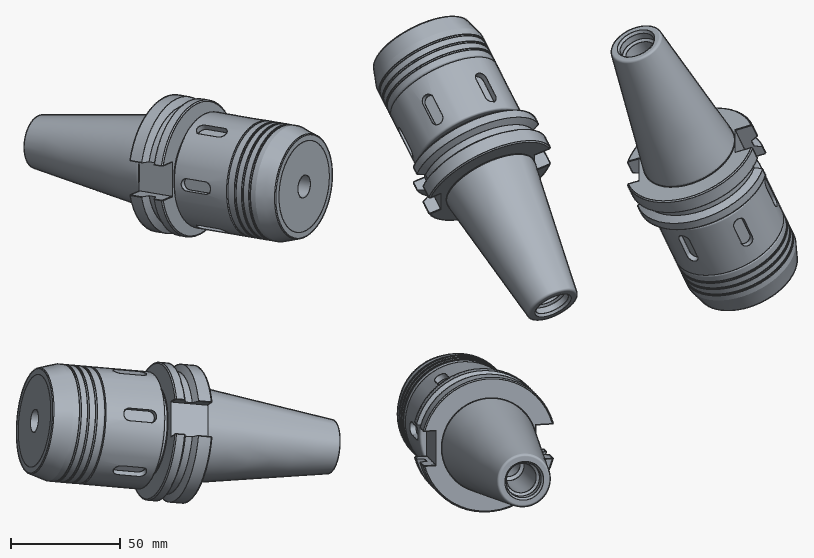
import cadquery as cq


total_length = 144.5
taper_end = 67.9
flange_start = 69.2
flange_end = 87.2
sleeve_start = 90.7
sleeve_end = 119.6
nose_ring_start = 119.9

shank_large_diameter = 44.5
taper_ratio = 7 / 24
shank_end_fillet = 1.2

relief_width = 0.5
shank_relief_diameter = 44.0
neck_relief_diameter = 42.0

flange_diameter = 63.3
flange_chamfer = 0.6
groove_floor_diameter = 56.3
groove_start = 76.0
groove_end = 82.8
groove_floor_start = 77.7
groove_floor_end = 81.0
drive_slot_width = 16.0
drive_slot_chamfer = 0.3
drive_slot_front_floor = 22.2
drive_slot_rear_floor = 24.7

neck_diameter = 42.5

bore_mouth_diameter = 18.2
bore_entry_diameter = 16.5
bore_thread_diameter = 13.9
bore_through_diameter = 10.5
bore_mouth_depth = 1.3
bore_entry_end = 4.5
bore_thread_start = 5.3
bore_thread_end = 28.9
bore_through_start = 29.9

nut_diameter = 53.7
rear_fillet = 1.0
slot_count = 6
slot_length = 15.9
slot_width = 5.9
slot_start = 95.0
slot_floor_radius = 24.0
ring_groove_count = 3
ring_groove_pitch = 3.9
ring_groove_width = 0.9
ring_groove_depth = 0.3
first_ring_groove = 123.8
nose_taper_start = 135.5
nose_diameter = 48.7
nose_chamfer = 0.5


def revolved(points):
    """Turn a closed (x, radius) outline about the X axis."""
    return cq.Workplane("XY").polyline(points).close().revolve(360, (0, 0, 0), (1, 0, 0))


def tube(start, end, outer_diameter, inner_diameter):
    """Plain tube along X."""
    outline = cq.Workplane("YZ", origin=(start, 0, 0))
    return outline.circle(outer_diameter / 2).circle(inner_diameter / 2).extrude(end - start)


def round_rear_rim(body):
    """Fillet the outer edge of the face nearest the shank."""
    outermost = cq.selectors.RadiusNthSelector(-1)
    return body.faces("<X").edges(outermost).fillet(rear_fillet)


def make_holder_blank():
    flange_radius = flange_diameter / 2
    groove_radius = groove_floor_diameter / 2
    large_radius = shank_large_diameter / 2
    small_radius = large_radius - taper_ratio / 2 * taper_end
    shank_relief_start = flange_start - relief_width
    shank_relief_radius = shank_relief_diameter / 2
    neck_relief_end = flange_end + relief_width
    neck_relief_radius = neck_relief_diameter / 2
    neck_radius = neck_diameter / 2
    blank = revolved([
        (0, 0),
        (0, small_radius),
        (taper_end, large_radius),
        (shank_relief_start, large_radius),
        (shank_relief_start, shank_relief_radius),
        (flange_start, shank_relief_radius),
        (flange_start, flange_radius - flange_chamfer),
        (flange_start + flange_chamfer, flange_radius),
        (groove_start, flange_radius),
        (groove_floor_start, groove_radius),
        (groove_floor_end, groove_radius),
        (groove_end, flange_radius),
        (flange_end - flange_chamfer, flange_radius),
        (flange_end, flange_radius - flange_chamfer),
        (flange_end, neck_relief_radius),
        (neck_relief_end, neck_relief_radius),
        (neck_relief_end, neck_radius),
        (total_length, neck_radius),
        (total_length, 0),
    ])
    return blank.faces("<X").edges().fillet(shank_end_fillet)


def make_holder_bore():
    return revolved([
        (0, 0),
        (0, bore_mouth_diameter / 2),
        (bore_mouth_depth, bore_entry_diameter / 2),
        (bore_entry_end, bore_entry_diameter / 2),
        (bore_thread_start, bore_thread_diameter / 2),
        (bore_thread_end, bore_thread_diameter / 2),
        (bore_through_start, bore_through_diameter / 2),
        (total_length, bore_through_diameter / 2),
        (total_length, 0),
    ])


def make_drive_slot(side, floor_distance):
    """Block that cuts a drive slot; side is -1 for -Y and +1 for +Y."""
    depth = flange_diameter / 2 - floor_distance
    middle_x = (flange_start + flange_end) / 2
    middle_y = side * (floor_distance + depth / 2)
    block = cq.Workplane("XY").box(flange_end - flange_start, depth, drive_slot_width)
    return block.translate((middle_x, middle_y, 0))


def break_drive_slot_edges(holder):
    """Chamfer the slot walls, except along the slot floor and the V groove."""
    groove_middle = (groove_start + groove_end) / 2
    groove_half_width = (groove_end - groove_start) / 2
    rims = []
    for edge in holder.faces("+Z or -Z").edges().vals():
        center = edge.Center()
        on_floor = edge.Length() > drive_slot_width
        in_groove = abs(center.x - groove_middle) < groove_half_width
        if not in_groove and not on_floor:
            rims.append(edge)
    return holder.newObject(rims).chamfer(drive_slot_chamfer)


def make_holder():
    holder = make_holder_blank().cut(make_holder_bore())
    holder = holder.cut(make_drive_slot(-1, drive_slot_front_floor))
    holder = holder.cut(make_drive_slot(1, drive_slot_rear_floor))
    return break_drive_slot_edges(holder)


def make_sleeve():
    """Sleeve with flat-bottomed spanner slots around it."""
    sleeve = tube(sleeve_start, sleeve_end, nut_diameter, neck_diameter)
    sleeve = round_rear_rim(sleeve)
    slot_cutter = (
        cq.Workplane("XY", origin=(slot_start + slot_length / 2, 0, slot_floor_radius))
        .slot2D(slot_length, slot_width)
        .extrude(nut_diameter / 2 - slot_floor_radius)
    )
    for index in range(slot_count):
        angle = 90 + index * 360 / slot_count
        sleeve = sleeve.cut(slot_cutter.rotate((0, 0, 0), (1, 0, 0), angle))
    return sleeve


def make_nose_ring():
    """Front ring with grip grooves and a tapered nose."""
    outer_radius = nut_diameter / 2
    nose_radius = nose_diameter / 2
    inner_radius = neck_diameter / 2
    ring = revolved([
        (nose_ring_start, inner_radius),
        (nose_ring_start, outer_radius),
        (nose_taper_start, outer_radius),
        (total_length - nose_chamfer, nose_radius),
        (total_length, nose_radius - nose_chamfer),
        (total_length, inner_radius),
    ])
    ring = round_rear_rim(ring)
    groove_floor = nut_diameter - 2 * ring_groove_depth
    for index in range(ring_groove_count):
        start = first_ring_groove + index * ring_groove_pitch
        ring = ring.cut(tube(start, start + ring_groove_width, nut_diameter, groove_floor))
    return ring


holder = make_holder()
sleeve = make_sleeve()
nose_ring = make_nose_ring()

result = cq.Compound.makeCompound([holder.val(), sleeve.val(), nose_ring.val()])